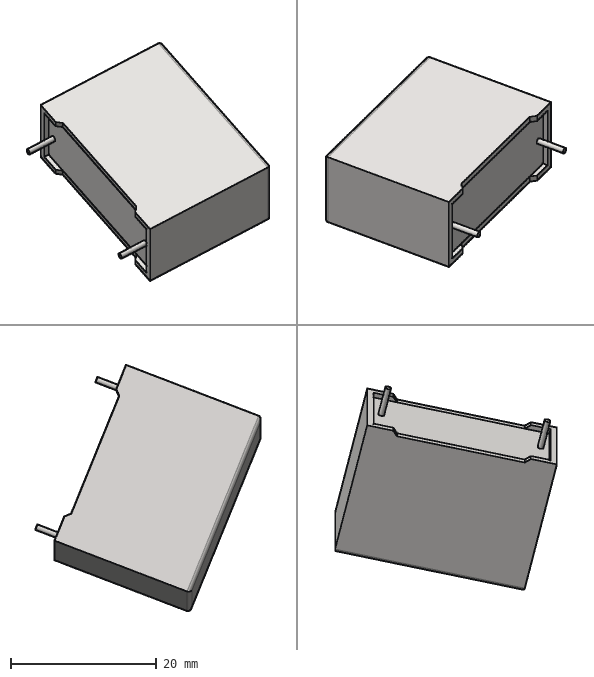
import cadquery as cq

case_width = 26.8
case_depth = 20.1
case_height = 11.2
wall = 0.9
back_edge_radius = 0.5

foot_width = 3.67
relief_depth = 0.72
relief_run = relief_depth

lead_diameter = 0.83
lead_pitch = 22.49
lead_projection = 3.5

half_width = case_width / 2
cavity_width = case_width - 2 * wall
cavity_height = case_height - 2 * wall
filling_depth = case_depth - wall - relief_depth
lead_length = lead_projection + relief_depth


def block(width, depth, height, front_y):
    """Box centred on X and Z that extends toward +Y from front_y."""
    return cq.Workplane("XY").box(width, depth, height, centered=(True, False, True)).translate((0, front_y, 0))


def make_case():
    """Moulded case with rounded back edges, a cavity and a relieved mouth."""
    body = block(case_width, case_depth, case_height, 0)
    body = body.faces(">Y").edges().fillet(back_edge_radius)
    cavity = block(cavity_width, case_depth - wall, cavity_height, 0)
    foot_end = half_width - foot_width
    relief_end = foot_end - relief_run
    relief = (
        cq.Workplane("XY")
        .polyline([(-foot_end, 0), (foot_end, 0), (relief_end, relief_depth), (-relief_end, relief_depth)])
        .close()
        .extrude(case_height / 2, both=True)
    )
    return body.cut(cavity).cut(relief)


def make_filling():
    """Potting block that fills the cavity up to the floor of the relief."""
    return block(cavity_width, filling_depth, cavity_height, relief_depth)


def make_lead(x):
    """Round lead that stands on the face of the filling and points toward -Y."""
    return cq.Workplane("XZ", origin=(x, relief_depth, 0)).circle(lead_diameter / 2).extrude(lead_length)


case = make_case()
filling = make_filling()
leads = [make_lead(side * lead_pitch / 2) for side in (-1, 1)]

result = cq.Compound.makeCompound([case.val(), filling.val(), *[lead.val() for lead in leads]])